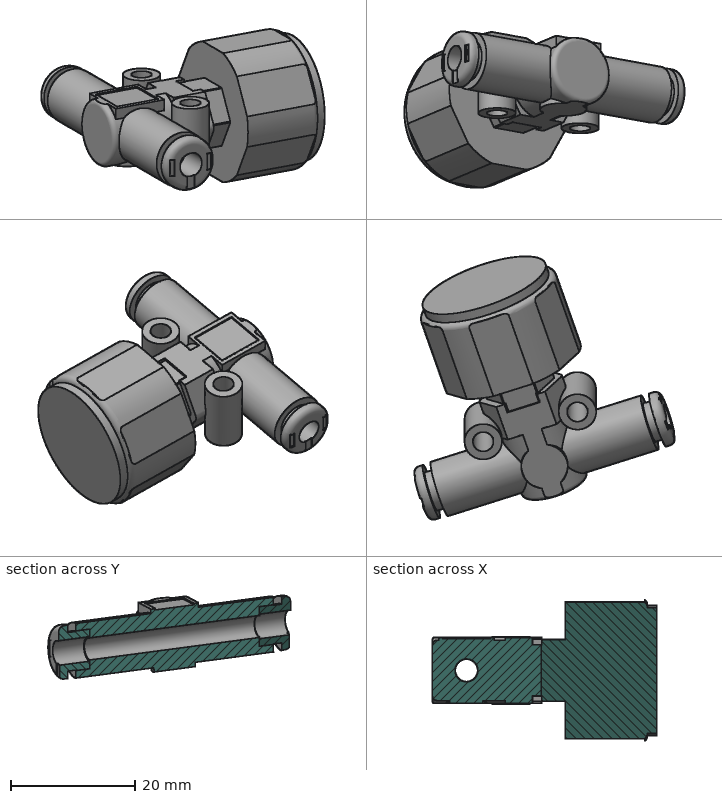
import cadquery as cq
import math


half_length = 20.9
front_y = -5.5
back_y = 30.6

tube_dia = 9.2
tube_half_length = 17.8
tube_bore_dia = 3.6
flat_half_height = 5.3
barrel_dia = 11.08
barrel_fillet = 0.8
boss_dia = 7.5
wrench_front_y = 6.23
wrench_back_y = 12.1
wrench_across_flats = 12.45
wrench_corner_fillet = 1.25

plate_width = 8.6
plate_length = 8.95
plate_bottom_z = 3.35
label_width = 6.95
label_length = 7.6
label_depth = 0.2

lug_x = 8.0
lug_y = 7.2
lug_dia = 6.0
lug_hole_dia = 3.3
lug_height = 10.85

collar_dia = 9.0
collar_thickness = 1.7
collar_fillet = 1.05
collar_neck_dia = 6.5
collar_bore_dia = 4.0
collar_insertion = 2.5
notch_depth = 0.25
bottom_notch_width = 1.42
side_notch_inner = 2.95
side_notch_outer = 3.8
side_notch_height = 2.75

knob_front_y = 15.85
knob_back_y = 29.1
knob_dia = 23.0
knob_across_flats = 22.0
knob_flat_end_y = 28.65
knob_fillet = 1.0
cap_dia = 20.95
neck_across_flats = 9.95
neck_corner_dia = 11.35
tab_width = 5.2
tab_thickness = 0.85
tab_length = 1.45
tab_side_gap = 0.15


def rod_along_y(diameter, y_start, y_end):
    """Round bar on the Y axis."""
    return cq.Workplane("XZ", origin=(0, y_start, 0)).circle(diameter / 2).extrude(y_start - y_end)


def rod_along_x(diameter, x_start, x_end):
    """Round bar on the X axis."""
    return cq.Workplane("YZ", origin=(x_start, 0, 0)).circle(diameter / 2).extrude(x_end - x_start)


def hexagon_along_y(across_flats, y_start, y_end):
    """Hexagonal bar on the Y axis with flats at top and bottom."""
    corner_dia = across_flats / math.cos(math.pi / 6)
    return cq.Workplane("XZ", origin=(0, y_start, 0)).polygon(6, corner_dia).extrude(y_start - y_end)


def box_between(x_range, y_range, z_range):
    """Box from its lower and upper limit along each axis."""
    lows, highs = zip(x_range, y_range, z_range)
    sizes = [high - low for low, high in zip(lows, highs)]
    return cq.Workplane("XY").box(*sizes, centered=False).translate(lows)


def tab_space(side_gap, z_outer):
    """Space of a locking tab on top of the neck, widened by a gap on both sides."""
    half_width = tab_width / 2 + side_gap
    z_inner = neck_across_flats / 2 - tab_thickness
    return box_between(
        (-half_width, half_width), (wrench_back_y - tab_length, wrench_back_y), (z_inner, z_outer)
    )


def make_fitting():
    barrel = rod_along_y(barrel_dia, front_y, wrench_front_y).faces("<Y").edges().fillet(barrel_fillet)
    wrench = hexagon_along_y(wrench_across_flats, wrench_front_y, wrench_back_y)
    wrench = wrench.edges("<X or >X").fillet(wrench_corner_fillet)
    between_flats = box_between(
        (-half_length, half_length), (front_y, wrench_back_y), (-flat_half_height, flat_half_height)
    )
    fitting = barrel.union(wrench).intersect(between_flats)

    fitting = fitting.union(rod_along_x(tube_dia, -tube_half_length, tube_half_length))
    fitting = fitting.union(cq.Workplane("XY").circle(boss_dia / 2).extrude(-flat_half_height))

    plate = box_between(
        (-plate_width / 2, plate_width / 2),
        (-plate_length / 2, plate_length / 2),
        (plate_bottom_z, flat_half_height),
    )
    fitting = fitting.union(plate)
    label_plane = cq.Workplane("XY", origin=(0, 0, flat_half_height))
    fitting = fitting.cut(label_plane.rect(label_width, label_length).extrude(-label_depth))

    lug_centers = [(-lug_x, lug_y), (lug_x, lug_y)]
    lug_plane = cq.Workplane("XY", origin=(0, 0, -lug_height / 2)).pushPoints(lug_centers)
    fitting = fitting.union(lug_plane.circle(lug_dia / 2).extrude(lug_height))
    fitting = fitting.cut(lug_plane.circle(lug_hole_dia / 2).extrude(lug_height))

    fitting = fitting.cut(rod_along_x(tube_bore_dia, -tube_half_length, tube_half_length))
    socket_end = tube_half_length - collar_insertion
    for side in (-1, 1):
        fitting = fitting.cut(rod_along_x(collar_neck_dia, side * socket_end, side * tube_half_length))

    slot = tab_space(tab_side_gap, flat_half_height)
    return fitting.cut(slot).cut(slot.mirror("XY"))


def make_collar():
    """Release collar at the -X end of the tube."""
    face_x = -half_length
    flange = rod_along_x(collar_dia, face_x, face_x + collar_thickness)
    flange = flange.faces("<X").edges().fillet(collar_fillet)
    neck_end = -tube_half_length + collar_insertion
    collar = flange.union(rod_along_x(collar_neck_dia, face_x + collar_thickness, neck_end))
    collar = collar.cut(rod_along_x(collar_bore_dia, face_x, neck_end))

    notch_x = (face_x, face_x + notch_depth)
    half_width = bottom_notch_width / 2
    half_height = side_notch_height / 2
    side_notch = box_between(notch_x, (side_notch_inner, side_notch_outer), (-half_height, half_height))
    bottom_notch = box_between(notch_x, (-half_width, half_width), (-collar_dia / 2, 0))
    return collar.cut(bottom_notch).cut(side_notch).cut(side_notch.mirror("XZ"))


def make_gauge():
    knob = rod_along_y(knob_dia, knob_front_y, knob_back_y).faces(">Y").edges().fillet(knob_fillet)
    lip = rod_along_y(knob_dia, knob_flat_end_y, knob_back_y)
    flats = hexagon_along_y(knob_across_flats, knob_front_y, knob_flat_end_y)
    knob = knob.intersect(flats.union(lip))

    gauge = knob.union(rod_along_y(cap_dia, knob_back_y, back_y))

    neck = hexagon_along_y(neck_across_flats, wrench_back_y, knob_front_y)
    neck = neck.intersect(rod_along_y(neck_corner_dia, wrench_back_y, knob_front_y))

    tab = tab_space(0, neck_across_flats / 2)
    return gauge.union(neck).union(tab).union(tab.mirror("XY"))


fitting = make_fitting()
gauge = make_gauge()
collars = [make_collar().rotate((0, 0, 0), (0, 0, 1), turn) for turn in (0, 180)]

result = cq.Compound.makeCompound([fitting.val(), gauge.val(), *[collar.val() for collar in collars]])